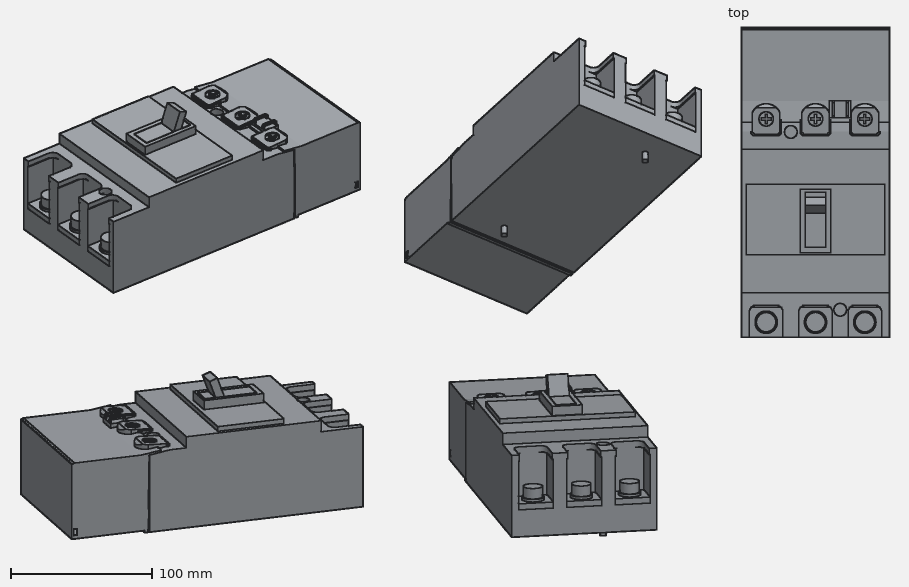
import cadquery as cq
import math

WIDTH = 105.0
HOUSING_LENGTH = 161.0
TOTAL_LENGTH = 220.0
POLE_PITCH = 35.0
POLES = [-POLE_PITCH, 0.0, POLE_PITCH]

FRONT_Y = -HOUSING_LENGTH / 2
REAR_Y = HOUSING_LENGTH / 2
COVER_REAR_Y = FRONT_Y + TOTAL_LENGTH

LID_Z = 60.0
DECK_Z = 68.3
ESCUTCHEON_Z = 71.8
BOSS_Z = 78.6
HANDLE_TOP_Z = 93.13

DECK_FRONT_Y = -48.8
DECK_REAR_Y = 53.0
LID_SLOPE_START_Y = 65.4
LID_SLOPE_DROP = 2.1
LID_SLOPE = LID_SLOPE_DROP / (REAR_Y - LID_SLOPE_START_Y)

ESCUTCHEON_WIDTH = 98.0
ESCUTCHEON_FRONT_Y = -22.0
ESCUTCHEON_REAR_Y = 28.0
BOSS_WIDTH = 21.8
BOSS_FRONT_Y = -20.6
BOSS_REAR_Y = 24.4
WINDOW_FRONT_Y = -16.6
WINDOW_REAR_Y = 22.4
WINDOW_DEPTH = 0.3
HANDLE_WIDTH = 14.7
HANDLE_THICKNESS = 6.2
HANDLE_LEAN = 20.0
HANDLE_FOOT_Y = 7.7

POCKET_WIDTH = 25.2
POCKET_DEPTH = 22.8
POCKET_FLOOR_Z = 19.9
POCKET_LEDGE_Z = 55.4
MOUTH_WIDTH = 23.9
MOUTH_RADIUS = 5.0

TERMINAL_PLATE_THICKNESS = 4.4
TERMINAL_PLATE_LENGTH = 21.3
BOLT_Y = FRONT_Y + 10.8
WASHER_DIAMETER = 15.8
WASHER_THICKNESS = 1.9
BOLT_HEAD_DIAMETER = 13.8
BOLT_HEAD_HEIGHT = 7.7

MOUNTING_POINTS = [(-POLE_PITCH / 2, 65.2), (POLE_PITCH / 2, -60.9)]
MOUNTING_HOLE_DIAMETER = 9.0
MOUNTING_SHANK_DIAMETER = 4.4
MOUNTING_SEAT_Z = 10.0
MOUNTING_HEAD_HEIGHT = 5.0
MOUNTING_PROJECTION = 7.0

COVER_TOP_Z = 58.6
COVER_BOTTOM_Z = 1.6
COVER_WALL = 1.2
COVER_GAP_TOP = 0.7
COVER_GAP_BOTTOM = 1.2
COVER_BEVEL_LENGTH = 2.0
COVER_BEVEL_HEIGHT = 0.9
FOOT_GAP = 1.5
FOOT_LENGTH = 2.4
FOOT_TOP_Z = 2.6
SLOT_FRONT_Y = 135.3
SLOT_REAR_Y = 137.9
SLOT_BOTTOM_Z = 4.3
SLOT_TOP_Z = 9.0

FLAP_THICKNESS = 1.4
FLAP_FRONT_Y = 71.9
FLAP_REAR_Y = 87.3

PAD_WIDTH = 19.4
PAD_FRONT_Y = 63.6
PAD_REAR_Y = 85.2
PAD_SHOULDER_Y = 79.0
PAD_FRONT_Z = 62.0
PAD_CREST_Y = 82.3
PAD_CREST_Z = 63.0
PAD_REAR_Z = 61.0
PAD_CORNER = 1.4
SKIRT_MARGIN = 1.1
SKIRT_REAR_Y = 74.0
SKIRT_HEIGHT = 1.3
SKIRT_CORNER = 1.8

COVER_SCREW_Y = 74.4
COVER_SCREW_DIAMETER = 10.2
COVER_SCREW_SEAT_Z = 60.6
COVER_SCREW_TOP_Z = 61.7
CROSS_LENGTH = 7.0
CROSS_WIDTH = 1.6
CROSS_DEPTH = 0.8

SEAL_X = POLE_PITCH / 2
SEAL_BASE_WIDTH = 15.2
SEAL_BASE_TOP_Z = 62.0
SEAL_FRONT_Y = 75.2
SEAL_REAR_Y = 87.4
SEAL_TOP_Z = 65.6
SEAL_BAR = 1.4
SEAL_RIB_WIDTH = 1.4
SEAL_RIB_OFFSET = 5.0
SEAL_CORNER = 1.4


def block(width, y_min, y_max, z_min, z_max, x_center=0.0):
    """Box centred on x_center, between the given Y and Z limits."""
    return (
        cq.Workplane("XY", origin=(x_center, (y_min + y_max) / 2, z_min))
        .box(width, y_max - y_min, z_max - z_min, centered=(True, True, False))
    )


def cylinder(x, y, z_min, z_max, diameter):
    """Upright cylinder."""
    return cq.Workplane("XY", origin=(x, y, z_min)).circle(diameter / 2).extrude(z_max - z_min)


def prism(points, width, x_center=0.0):
    """Side profile given as (y, z) points, extruded along X about x_center."""
    return cq.Workplane("YZ", origin=(x_center, 0, 0)).polyline(points).close().extrude(width / 2, both=True)


def housing_body():
    return prism(
        [
            (FRONT_Y, 0),
            (REAR_Y, 0),
            (REAR_Y, LID_Z - LID_SLOPE_DROP),
            (LID_SLOPE_START_Y, LID_Z),
            (DECK_REAR_Y, LID_Z),
            (DECK_REAR_Y, DECK_Z),
            (DECK_FRONT_Y, DECK_Z),
            (DECK_FRONT_Y, LID_Z),
            (FRONT_Y, LID_Z),
        ],
        WIDTH,
    )


def toggle_handle():
    """Leaning handle, its foot sunk to the floor of the window."""
    lean = math.radians(HANDLE_LEAN)
    length_y, length_z = math.sin(lean), math.cos(lean)
    foot_z = BOSS_Z - WINDOW_DEPTH
    reach = (HANDLE_TOP_Z - foot_z) / length_z
    tip_y = HANDLE_FOOT_Y + reach * length_y
    back_tip_y = tip_y + HANDLE_THICKNESS * length_z
    back_tip_z = HANDLE_TOP_Z - HANDLE_THICKNESS * length_y
    back_foot_y = HANDLE_FOOT_Y + HANDLE_THICKNESS / length_z
    return prism(
        [
            (HANDLE_FOOT_Y, foot_z),
            (tip_y, HANDLE_TOP_Z),
            (back_tip_y, back_tip_z),
            (back_foot_y, foot_z),
        ],
        HANDLE_WIDTH,
    )


def pocket_cut(x):
    """Terminal pocket open to the front, with a narrower round-cornered mouth in the lid."""
    chamber = block(POCKET_WIDTH, FRONT_Y, FRONT_Y + POCKET_DEPTH, POCKET_FLOOR_Z, POCKET_LEDGE_Z, x)
    mouth = block(MOUTH_WIDTH, FRONT_Y, FRONT_Y + POCKET_DEPTH, POCKET_LEDGE_Z, LID_Z, x)
    mouth = mouth.faces(">Y").edges("|Z").fillet(MOUTH_RADIUS)
    return chamber.union(mouth)


def make_housing():
    body = housing_body()
    body = body.union(block(ESCUTCHEON_WIDTH, ESCUTCHEON_FRONT_Y, ESCUTCHEON_REAR_Y, DECK_Z, ESCUTCHEON_Z))
    body = body.union(block(BOSS_WIDTH, BOSS_FRONT_Y, BOSS_REAR_Y, ESCUTCHEON_Z, BOSS_Z))
    body = body.cut(block(HANDLE_WIDTH, WINDOW_FRONT_Y, WINDOW_REAR_Y, BOSS_Z - WINDOW_DEPTH, BOSS_Z))
    body = body.union(toggle_handle())
    for x in POLES:
        body = body.cut(pocket_cut(x))
    for x, y in MOUNTING_POINTS:
        body = body.cut(cylinder(x, y, 0, LID_Z, MOUNTING_SHANK_DIAMETER))
        body = body.cut(cylinder(x, y, MOUNTING_SEAT_Z, LID_Z, MOUNTING_HOLE_DIAMETER))
    return body


def make_terminal(x):
    """Terminal plate on the pocket floor with its washer and bolt head."""
    plate_top = POCKET_FLOOR_Z + TERMINAL_PLATE_THICKNESS
    washer_top = plate_top + WASHER_THICKNESS
    plate = block(POCKET_WIDTH, FRONT_Y, FRONT_Y + TERMINAL_PLATE_LENGTH, POCKET_FLOOR_Z, plate_top, x)
    washer = cylinder(x, BOLT_Y, plate_top, washer_top, WASHER_DIAMETER)
    head = cylinder(x, BOLT_Y, washer_top, washer_top + BOLT_HEAD_HEIGHT, BOLT_HEAD_DIAMETER)
    return plate.union(washer).union(head)


def make_mounting_screw(x, y):
    """Screw seated in its counterbore, with the shank standing out below the housing."""
    shank = cylinder(x, y, -MOUNTING_PROJECTION, MOUNTING_SEAT_Z, MOUNTING_SHANK_DIAMETER)
    head_top = MOUNTING_SEAT_Z + MOUNTING_HEAD_HEIGHT
    return shank.union(cylinder(x, y, MOUNTING_SEAT_Z, head_top, MOUNTING_HOLE_DIAMETER))


def lid_slope_z(y):
    """Height of the sloping lid, or of its extension, at a given Y."""
    return LID_Z - LID_SLOPE * (y - LID_SLOPE_START_Y)


def cover_shell():
    """Thin-walled box open towards the housing, with a seal slot through both sides."""
    front_top_y = REAR_Y + COVER_GAP_TOP
    front_bottom_y = REAR_Y + COVER_GAP_BOTTOM
    shell = prism(
        [
            (front_bottom_y, COVER_BOTTOM_Z),
            (COVER_REAR_Y, COVER_BOTTOM_Z),
            (COVER_REAR_Y, COVER_TOP_Z - COVER_BEVEL_HEIGHT),
            (COVER_REAR_Y - COVER_BEVEL_LENGTH, COVER_TOP_Z),
            (front_top_y, COVER_TOP_Z),
        ],
        WIDTH,
    )
    foot_y = REAR_Y + FOOT_GAP
    shell = shell.union(block(WIDTH, foot_y, foot_y + FOOT_LENGTH, 0, FOOT_TOP_Z))
    cavity = block(
        WIDTH - 2 * COVER_WALL,
        REAR_Y,
        COVER_REAR_Y - COVER_WALL,
        COVER_BOTTOM_Z + COVER_WALL,
        COVER_TOP_Z - COVER_WALL,
    )
    slot = block(WIDTH, SLOT_FRONT_Y, SLOT_REAR_Y, SLOT_BOTTOM_Z, SLOT_TOP_Z)
    return shell.cut(cavity).cut(slot)


def cover_flap():
    front_z = lid_slope_z(FLAP_FRONT_Y)
    rear_z = COVER_TOP_Z - COVER_WALL
    return prism(
        [
            (FLAP_FRONT_Y, front_z),
            (FLAP_FRONT_Y, front_z + FLAP_THICKNESS),
            (FLAP_REAR_Y, COVER_TOP_Z),
            (FLAP_REAR_Y, rear_z),
            (REAR_Y, rear_z),
        ],
        WIDTH,
    )


def screw_pad(x):
    """Pad with a round rear end and a gently sloping top, standing on a wider skirt."""
    half = PAD_WIDTH / 2
    base_z = COVER_TOP_Z - COVER_WALL
    outline = (
        cq.Workplane("XY", origin=(x, 0, base_z))
        .moveTo(-half + PAD_CORNER, PAD_FRONT_Y)
        .lineTo(half - PAD_CORNER, PAD_FRONT_Y)
        .lineTo(half, PAD_FRONT_Y + PAD_CORNER)
        .lineTo(half, PAD_SHOULDER_Y)
        .threePointArc((0, PAD_REAR_Y), (-half, PAD_SHOULDER_Y))
        .lineTo(-half, PAD_FRONT_Y + PAD_CORNER)
        .close()
        .extrude(PAD_CREST_Z - base_z)
    )
    side = prism(
        [
            (PAD_FRONT_Y, base_z),
            (PAD_FRONT_Y, PAD_FRONT_Z),
            (PAD_CREST_Y, PAD_CREST_Z),
            (PAD_REAR_Y, PAD_REAR_Z),
            (PAD_REAR_Y, base_z),
        ],
        PAD_WIDTH,
        x,
    )
    skirt = block(
        PAD_WIDTH + 2 * SKIRT_MARGIN,
        PAD_FRONT_Y - SKIRT_MARGIN,
        SKIRT_REAR_Y,
        base_z,
        LID_Z + SKIRT_HEIGHT,
        x,
    )
    skirt = skirt.faces("<Y").edges("|Z").chamfer(SKIRT_CORNER)
    return outline.intersect(side).union(skirt)


def skirt_relief(side):
    """Clears the outer flank of an outer skirt, leaving only its front corner standing proud."""
    x = side * (POLE_PITCH + PAD_WIDTH / 2 + SKIRT_MARGIN / 2)
    return block(SKIRT_MARGIN, LID_SLOPE_START_Y, SKIRT_REAR_Y, 0, PAD_CREST_Z, x)


def seal_loops():
    """Flat base carrying two upright loops for a seal wire."""
    base_z = COVER_TOP_Z - COVER_WALL
    base = block(SEAL_BASE_WIDTH, SEAL_FRONT_Y, SEAL_REAR_Y, base_z, SEAL_BASE_TOP_Z, SEAL_X)
    for side in (-1, 1):
        x = SEAL_X + side * SEAL_RIB_OFFSET
        rib = block(SEAL_RIB_WIDTH, SEAL_FRONT_Y, SEAL_REAR_Y, SEAL_BASE_TOP_Z, SEAL_TOP_Z, x)
        rib = rib.faces(">Z").edges("|X").chamfer(SEAL_CORNER)
        eye = block(
            SEAL_RIB_WIDTH,
            SEAL_FRONT_Y + SEAL_BAR,
            SEAL_REAR_Y - SEAL_BAR,
            SEAL_BASE_TOP_Z,
            SEAL_TOP_Z - SEAL_BAR,
            x,
        )
        base = base.union(rib.cut(eye))
    return base


def make_cover():
    cover = cover_shell().union(cover_flap()).union(seal_loops())
    pads = [screw_pad(x) for x in POLES]
    for side in (-1, 1):
        pads[1 + side] = pads[1 + side].cut(skirt_relief(side))
    for pad in pads:
        cover = cover.union(pad)
    for x in POLES:
        cover = cover.cut(cylinder(x, COVER_SCREW_Y, COVER_SCREW_SEAT_Z, PAD_CREST_Z, COVER_SCREW_DIAMETER))
    return cover.cut(housing_body())


def make_cover_screw(x):
    """Cross-recessed screw head lying in its pad."""
    head = cylinder(x, COVER_SCREW_Y, COVER_SCREW_SEAT_Z, COVER_SCREW_TOP_Z, COVER_SCREW_DIAMETER)
    recess = cq.Workplane("XY", origin=(x, COVER_SCREW_Y, COVER_SCREW_TOP_Z - CROSS_DEPTH))
    along = recess.rect(CROSS_WIDTH, CROSS_LENGTH).extrude(CROSS_DEPTH)
    across = recess.rect(CROSS_LENGTH, CROSS_WIDTH).extrude(CROSS_DEPTH)
    return head.cut(along).cut(across)


housing = make_housing()
cover = make_cover()
terminals = [make_terminal(x) for x in POLES]
mounting_screws = [make_mounting_screw(x, y) for x, y in MOUNTING_POINTS]
cover_screws = [make_cover_screw(x) for x in POLES]

result = cq.Compound.makeCompound(
    [
        housing.val(),
        cover.val(),
        *[terminal.val() for terminal in terminals],
        *[screw.val() for screw in mounting_screws],
        *[screw.val() for screw in cover_screws],
    ]
)